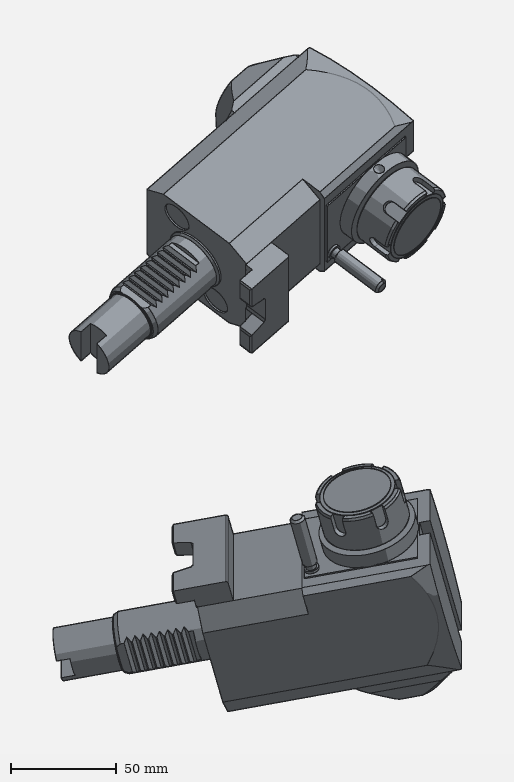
import cadquery as cq
import math


BODY_LEFT = -31.9
BODY_RIGHT = 35.2
BODY_HALF_HEIGHT = 32.0
BODY_LENGTH = 113.7
LEFT_CHAMFER_RUN = 10.7
LEFT_CHAMFER_RISE = 6.2
RIGHT_CHAMFER = 2.8
RELIEF_LENGTH = 51.3
RELIEF_RUN = 11.1
RELIEF_RIGHT = BODY_RIGHT - RIGHT_CHAMFER
SIDE_HALF_HEIGHT = BODY_HALF_HEIGHT - LEFT_CHAMFER_RISE

CROWN_X = 8.9
CROWN_RADIUS = 147.0
CROWN_TAPER = 15.0
CROWN_START = 110.6

REAR_SLOT_WIDTH = 9.6
REAR_SLOT_DEPTH = 5.0

RECESS_RADIUS = 7.7
RECESS_DEPTH = 1.0
RECESS_X = 12.5
RECESS_Z = 21.7

SPINDLE_Y = 84.8
CAP_LEFT = -50.5
CAP_FACE_RADIUS = 16.5
CAP_RADIUS = 32.0
CAP_CONE_LENGTH = CAP_RADIUS - CAP_FACE_RADIUS
CAP_HALF_HEIGHT = 23.2
CAP_FACE_HALF_HEIGHT = 15.6
CAP_BEVEL_LENGTH = 12.5
CAP_REAR_REACH = 24.9

PLATE_RIGHT = 36.0
PLATE_HALF_HEIGHT = 22.6
PLATE_FRONT = 52.5
PLATE_REAR = 107.6
COLLAR_RADIUS = 23.4
COLLAR_RIGHT = 43.4
COLLAR_HOLE_RADIUS = 2.6
COLLAR_HOLE_DEPTH = 2.6
COLLAR_HOLE_X = 39.5
NECK_RADIUS = 18.0
NUT_LEFT = 44.1
NUT_RIGHT = 63.7
NUT_RADIUS = 21.0
NUT_LEFT_CHAMFER = 0.5
NUT_RIGHT_CHAMFER_LENGTH = 1.3
NUT_RIGHT_CHAMFER_RISE = 0.5
NUT_SLOT_COUNT = 6
NUT_SLOT_WIDTH = 6.5
NUT_SLOT_FLOOR = 18.3
NUT_SLOT_START = 52.8
FACE_RING_RIGHT = 64.0
COLLET_RADIUS = 16.4
COLLET_RIGHT = 64.5

PIN_Y = 56.4
PIN_Z = -17.2
PIN_RADIUS = 3.5
PIN_RIGHT = 67.9
PIN_CHAMFER = 1.1
PIN_HEAD_RIGHT = 37.3
PIN_BODY_LEFT = 40.3
PIN_NECK_RADIUS = 2.6
NOZZLE_RADIUS = 1.1
NOZZLE_DEPTH = 1.9

KEY_RIGHT = 44.3
KEY_HALF_WIDTH = SIDE_HALF_HEIGHT
KEY_FRONT = -0.5
KEY_REAR = 17.3
KEY_EDGE = 0.8
TAB_LEFT = 36.5
TAB_TIP = -9.8
TAB_TIP_INNER = 11.7
TAB_ROOT_INNER = 9.5
GROOVE_FLOOR_HALF_WIDTH = 8.1
GROOVE_DEPTH = 1.0

FLANGE_RADIUS = 16.0
FLANGE_THICKNESS = 1.0
FLANGE_END = 2.0
SHANK_RADIUS = 15.0
SHANK_END = 45.2
SHANK_STEP_RADIUS = 13.4
SHANK_STEP_LENGTH = 0.5
SHANK_CHAMFER_LENGTH = 2.3
SHANK_CHAMFER_RISE = 1.0
RACK_HEIGHT = 12.3
RACK_START = 7.5
GROOVE_COUNT = 8
FIRST_GROOVE = 11.5
LAST_GROOVE = 39.4
GROOVE_PITCH = (LAST_GROOVE - FIRST_GROOVE) / (GROOVE_COUNT - 1)
TOOTH_DEPTH = 1.7

DRIVE_RADIUS = 12.8
DRIVE_END = 74.8
DRIVE_SLOT_WIDTH = 10.2
DRIVE_SLOT_DEPTH = 6.6


def box(x0, x1, y0, y1, z0, z1):
    """Box given by its limits along each axis."""
    return cq.Workplane("XY").box(x1 - x0, y1 - y0, z1 - z0, centered=False).translate((x0, y0, z0))


def turned_about_x(profile, y, z):
    """Solid turned from (x, radius) points about the X-parallel axis through (y, z)."""
    return (cq.Workplane("XY").polyline(profile).close()
            .revolve(360, (0, 0, 0), (1, 0, 0)).translate((0, y, z)))


def turned_about_y(profile, x, z):
    """Solid turned from (radius, y) points about the Y-parallel axis through (x, z)."""
    return (cq.Workplane("XY").polyline(profile).close()
            .revolve(360, (0, 0, 0), (0, 1, 0)).translate((x, 0, z)))


def along_y(points, start, end):
    """Prism of an (x, z) outline between two Y positions."""
    return (cq.Workplane("XZ", origin=(0, start, 0)).polyline(points).close()
            .extrude(start - end))


def above_and_below(solid):
    """The solid together with its mirror image in the plane Z = 0."""
    return solid.union(solid.mirror("XY"))


def block_outline(right, right_run, right_rise):
    """Housing cross section with chamfered right corners of the given size."""
    upper = [
        (BODY_LEFT, SIDE_HALF_HEIGHT),
        (BODY_LEFT + LEFT_CHAMFER_RUN, BODY_HALF_HEIGHT),
        (right - right_run, BODY_HALF_HEIGHT),
        (right, BODY_HALF_HEIGHT - right_rise),
    ]
    return upper + [(x, -z) for x, z in reversed(upper)]


def crown_envelope(side):
    """Large blunt cone bounding the upper (side 1) or lower (side -1) face of the housing."""
    slope = math.tan(math.radians(CROWN_TAPER))
    tip_radius = CROWN_RADIUS - (BODY_LENGTH - CROWN_START) * slope
    front_radius = CROWN_RADIUS + CROWN_START * slope
    profile = [(0, 0), (front_radius, 0), (tip_radius, BODY_LENGTH), (0, BODY_LENGTH)]
    return turned_about_y(profile, CROWN_X, side * (BODY_HALF_HEIGHT - CROWN_RADIUS))


def housing():
    """Chamfered block with a crowned rear end, front recesses and a rear slot."""
    head = along_y(block_outline(BODY_RIGHT, RIGHT_CHAMFER, RIGHT_CHAMFER), RELIEF_LENGTH, BODY_LENGTH)
    base = along_y(block_outline(RELIEF_RIGHT, RELIEF_RUN, LEFT_CHAMFER_RISE), 0, RELIEF_LENGTH)
    body = head.union(base)
    for side in (1, -1):
        body = body.intersect(crown_envelope(side))
        recess = (cq.Workplane("XZ").center(-side * RECESS_X, side * RECESS_Z)
                  .circle(RECESS_RADIUS).extrude(-RECESS_DEPTH))
        body = body.cut(recess)
    half_slot = REAR_SLOT_WIDTH / 2
    slot = box(BODY_LEFT, BODY_RIGHT, BODY_LENGTH - REAR_SLOT_DEPTH, BODY_LENGTH, -half_slot, half_slot)
    return body.cut(slot)


def bearing_cap():
    """Round cone with straight and sloping flats above and below, and a flat rear."""
    cone = turned_about_x([
        (CAP_LEFT, 0),
        (CAP_LEFT, CAP_FACE_RADIUS),
        (CAP_LEFT + CAP_CONE_LENGTH, CAP_RADIUS),
        (BODY_LEFT, CAP_RADIUS),
        (BODY_LEFT, 0),
    ], SPINDLE_Y, 0)
    upper = [
        (CAP_LEFT, CAP_FACE_HALF_HEIGHT),
        (CAP_LEFT + CAP_BEVEL_LENGTH, CAP_HALF_HEIGHT),
        (BODY_LEFT, CAP_HALF_HEIGHT),
    ]
    outline = upper + [(x, -z) for x, z in reversed(upper)]
    return cone.intersect(along_y(outline, SPINDLE_Y - CAP_RADIUS, SPINDLE_Y + CAP_REAR_REACH))


def collar():
    """Seating plate and round collar with a conical dimple on top."""
    plate = box(BODY_RIGHT, PLATE_RIGHT, PLATE_FRONT, PLATE_REAR, -PLATE_HALF_HEIGHT, PLATE_HALF_HEIGHT)
    ring = turned_about_x([
        (PLATE_RIGHT, 0),
        (PLATE_RIGHT, COLLAR_RADIUS),
        (COLLAR_RIGHT, COLLAR_RADIUS),
        (COLLAR_RIGHT, NECK_RADIUS),
        (NUT_LEFT, NECK_RADIUS),
        (NUT_LEFT, 0),
    ], SPINDLE_Y, 0)
    tip = cq.Vector(COLLAR_HOLE_X, SPINDLE_Y, COLLAR_RADIUS - COLLAR_HOLE_DEPTH)
    hole = cq.Solid.makeCone(0, COLLAR_HOLE_RADIUS, COLLAR_HOLE_DEPTH, tip, cq.Vector(0, 0, 1))
    return plate.union(ring.cut(cq.Workplane(hole)))


def nut():
    """Clamping nut with round-ended spanner slots, and the collet face inside it."""
    blank = turned_about_x([
        (NUT_LEFT, 0),
        (NUT_LEFT, NUT_RADIUS - NUT_LEFT_CHAMFER),
        (NUT_LEFT + NUT_LEFT_CHAMFER, NUT_RADIUS),
        (NUT_RIGHT - NUT_RIGHT_CHAMFER_LENGTH, NUT_RADIUS),
        (NUT_RIGHT, NUT_RADIUS - NUT_RIGHT_CHAMFER_RISE),
        (NUT_RIGHT, NUT_SLOT_FLOOR),
        (FACE_RING_RIGHT, NUT_SLOT_FLOOR),
        (FACE_RING_RIGHT, COLLET_RADIUS),
        (COLLET_RIGHT, COLLET_RADIUS),
        (COLLET_RIGHT, 0),
    ], SPINDLE_Y, 0)
    half = NUT_SLOT_WIDTH / 2
    cutter = (cq.Workplane("XZ", origin=(0, -NUT_SLOT_FLOOR, 0))
              .moveTo(COLLET_RIGHT, half)
              .lineTo(NUT_SLOT_START + half, half)
              .threePointArc((NUT_SLOT_START, 0), (NUT_SLOT_START + half, -half))
              .lineTo(COLLET_RIGHT, -half)
              .close().extrude(NUT_RADIUS))
    for i in range(NUT_SLOT_COUNT):
        turned = cutter.rotate((0, 0, 0), (1, 0, 0), i * 360 / NUT_SLOT_COUNT)
        blank = blank.cut(turned.translate((0, SPINDLE_Y, 0)))
    return blank


def coolant_pin():
    """Necked pin with a small nozzle bored obliquely into its tip."""
    pin = turned_about_x([
        (BODY_RIGHT, 0),
        (BODY_RIGHT, PIN_RADIUS),
        (PIN_HEAD_RIGHT, PIN_RADIUS),
        (PIN_HEAD_RIGHT, PIN_NECK_RADIUS),
        (PIN_BODY_LEFT, PIN_NECK_RADIUS),
        (PIN_BODY_LEFT, PIN_RADIUS),
        (PIN_RIGHT - PIN_CHAMFER, PIN_RADIUS),
        (PIN_RIGHT, PIN_RADIUS - PIN_CHAMFER),
        (PIN_RIGHT, 0),
    ], PIN_Y, PIN_Z)
    rim_offset = (PIN_RADIUS - PIN_CHAMFER / 2) / math.sqrt(2)
    rim = cq.Vector(PIN_RIGHT - PIN_CHAMFER, PIN_Y + rim_offset, PIN_Z + rim_offset)
    outward = cq.Vector(1, 1, 1).normalized()
    nozzle = cq.Solid.makeCylinder(NOZZLE_RADIUS, 2 * NOZZLE_DEPTH, rim - outward * NOZZLE_DEPTH, outward)
    return pin.cut(cq.Workplane(nozzle))


def driving_key():
    """Key bar with two forward tabs and a shallow groove between them."""
    bar = box(RELIEF_RIGHT, KEY_RIGHT, KEY_FRONT, KEY_REAR, -KEY_HALF_WIDTH, KEY_HALF_WIDTH)
    tab_outline = [
        (KEY_FRONT, TAB_ROOT_INNER),
        (TAB_TIP, TAB_TIP_INNER),
        (TAB_TIP, KEY_HALF_WIDTH),
        (KEY_FRONT, KEY_HALF_WIDTH),
    ]
    tab = (cq.Workplane("YZ", origin=(TAB_LEFT, 0, 0)).polyline(tab_outline).close()
           .extrude(KEY_RIGHT - TAB_LEFT)
           .faces("<Y").chamfer(KEY_EDGE))
    groove_outline = [
        (KEY_FRONT, TAB_ROOT_INNER),
        (KEY_FRONT + GROOVE_DEPTH, GROOVE_FLOOR_HALF_WIDTH),
        (KEY_FRONT + GROOVE_DEPTH, -GROOVE_FLOOR_HALF_WIDTH),
        (KEY_FRONT, -TAB_ROOT_INNER),
    ]
    groove = (cq.Workplane("YZ", origin=(RELIEF_RIGHT, 0, 0)).polyline(groove_outline).close()
              .extrude(KEY_RIGHT - RELIEF_RIGHT))
    key = bar.union(above_and_below(tab)).cut(groove)
    return key.faces(">X").edges("|Z and >Y").chamfer(KEY_EDGE)


def rack_cutter():
    """Flat with a row of V grooves, removed from the top of the shank."""
    flat = box(-SHANK_RADIUS, SHANK_RADIUS, -SHANK_END, -RACK_START, RACK_HEIGHT, SHANK_RADIUS)
    valley = [
        (-TOOTH_DEPTH, RACK_HEIGHT),
        (0, RACK_HEIGHT - TOOTH_DEPTH),
        (TOOTH_DEPTH, RACK_HEIGHT),
    ]
    groove = (cq.Workplane("YZ", origin=(-SHANK_RADIUS, 0, 0)).polyline(valley).close()
              .extrude(2 * SHANK_RADIUS))
    for i in range(GROOVE_COUNT):
        flat = flat.union(groove.translate((0, -FIRST_GROOVE - i * GROOVE_PITCH, 0)))
    return flat


def shank():
    """Flanged round shank, toothed above and below, with a slotted drive end."""
    turned = turned_about_y([
        (0, 0),
        (FLANGE_RADIUS, 0),
        (FLANGE_RADIUS, -FLANGE_THICKNESS),
        (SHANK_RADIUS, -FLANGE_END),
        (SHANK_RADIUS, -SHANK_END + SHANK_CHAMFER_LENGTH),
        (SHANK_RADIUS - SHANK_CHAMFER_RISE, -SHANK_END),
        (SHANK_STEP_RADIUS, -SHANK_END),
        (SHANK_STEP_RADIUS, -SHANK_END - SHANK_STEP_LENGTH),
        (DRIVE_RADIUS, -SHANK_END - SHANK_STEP_LENGTH),
        (DRIVE_RADIUS, -DRIVE_END),
        (0, -DRIVE_END),
    ], 0, 0)
    half = DRIVE_SLOT_WIDTH / 2
    slot = box(-half, half, -DRIVE_END, -DRIVE_END + DRIVE_SLOT_DEPTH, -DRIVE_RADIUS, DRIVE_RADIUS)
    return turned.cut(above_and_below(rack_cutter())).cut(slot)


result = housing()
for piece in (bearing_cap(), collar(), nut(), coolant_pin(), driving_key(), shank()):
    result = result.union(piece)